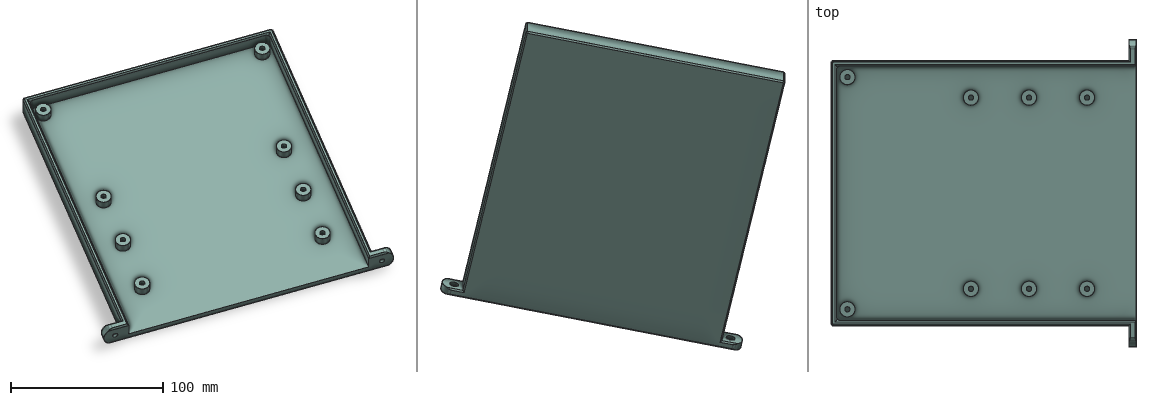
import cadquery as cq
import math

length = 200.5
height = 15.0
tray_width = 174.0
overall_width = 201.72
wall = 3.5
floor_thickness = 5.0
edge_chamfer = 1.0
corner_chamfer = 1.0
inner_corner_radius = 2.5

ear_thickness = 5.0
ear_radius = 8.0
ear_hole_y = overall_width / 2 - ear_radius
ear_hole_diameter = 3.5
counterbore_diameter = 5.75
counterbore_depth = 2.5

standoff_diameter = 10.0
standoff_hole_diameter = 3.4
standoff_height = 6.0
rear_standoff_inset = 10.75
rear_standoff_spacing = 152.4
front_standoff_spacing = 125.5
front_standoff_pitch = 38.1
front_standoff_count = 3
last_front_standoff_inset = 32.45

back_x = -length / 2
front_x = length / 2
mid_z = height / 2


def make_body():
    """Solid plate with ears; the two upright corners at the -X end are chamfered."""
    plate = (
        cq.Workplane("XY")
        .box(length, tray_width, height, centered=(True, True, False))
        .edges("|Z and <X")
        .chamfer(corner_chamfer)
    )
    arc_run = math.sqrt(ear_radius**2 - mid_z**2)
    ear_outline_y = ear_hole_y + arc_run
    tip_y = ear_hole_y + ear_radius
    crossbar = (
        cq.Workplane("YZ", origin=(front_x - ear_thickness, 0, 0))
        .moveTo(-ear_outline_y, 0)
        .lineTo(ear_outline_y, 0)
        .threePointArc((tip_y, mid_z), (ear_outline_y, height))
        .lineTo(-ear_outline_y, height)
        .threePointArc((-tip_y, mid_z), (-ear_outline_y, 0))
        .close()
        .extrude(ear_thickness)
    )
    return plate.union(crossbar)


def make_cavity():
    """Space above the floor, running out through the +X end."""
    cavity_length = length - wall
    return (
        cq.Workplane("XY", origin=(back_x + wall, 0, floor_thickness))
        .box(cavity_length, tray_width - 2 * wall, height, centered=(False, True, False))
    )


def standoff_points():
    """Centers of one rear and several front standoffs on each side."""
    points = []
    for side in (-1, 1):
        points.append((back_x + rear_standoff_inset, side * rear_standoff_spacing / 2))
        for i in range(front_standoff_count):
            x = front_x - last_front_standoff_inset - i * front_standoff_pitch
            points.append((x, side * front_standoff_spacing / 2))
    return points


def add_standoffs(body):
    """Round posts on the floor, bored down to the floor surface."""
    posts = (
        cq.Workplane("XY", origin=(0, 0, floor_thickness))
        .pushPoints(standoff_points())
        .circle(standoff_diameter / 2)
        .extrude(standoff_height)
    )
    holes = (
        cq.Workplane("XY", origin=(0, 0, floor_thickness))
        .pushPoints(standoff_points())
        .circle(standoff_hole_diameter / 2)
        .extrude(standoff_height)
    )
    return body.union(posts).cut(holes)


def cut_ear_holes(body):
    """Counterbored screw holes along X, counterbores on the -X face of each ear."""
    centers = [(-ear_hole_y, mid_z), (ear_hole_y, mid_z)]
    ear_face = cq.Workplane("YZ", origin=(front_x - ear_thickness, 0, 0))
    holes = ear_face.pushPoints(centers).circle(ear_hole_diameter / 2).extrude(ear_thickness)
    bores = ear_face.pushPoints(centers).circle(counterbore_diameter / 2).extrude(counterbore_depth)
    return body.cut(holes).cut(bores)


def chamfer_rims(body):
    """Chamfer every edge of the flat top and bottom faces."""
    return body.faces("<Z or >Z").edges().chamfer(edge_chamfer)


def round_inner_corners(body):
    """Round the two upright corners of the cavity, below the rim chamfer."""
    corner_x = back_x + wall
    corner_y = tray_width / 2 - wall
    corner_z = (floor_thickness + height - edge_chamfer) / 2
    for side in (-1, 1):
        corner = cq.selectors.NearestToPointSelector((corner_x, side * corner_y, corner_z))
        body = body.edges("|Z").edges(corner).fillet(inner_corner_radius)
    return body


tray = make_body().cut(make_cavity())
tray = round_inner_corners(chamfer_rims(tray))
result = cut_ear_holes(add_standoffs(tray))